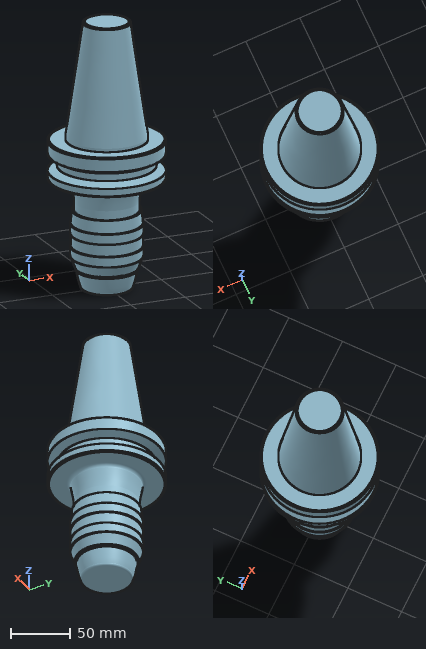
import cadquery as cq
import math

total_height = 236.8
gauge_z = 135.0
gauge_radius = 34.93
taper_slope = 7 / 48
tip_radius = gauge_radius - (total_height - gauge_z) * taper_slope
tip_chamfer_width = 1.5
tip_chamfer_height = 1.0

flange_radius = 50.0
flange_top_z = 132.1
flange_bottom_z = 96.9
flange_chamfer = 1.2
groove_top_z = 119.5
groove_floor_top_z = 115.5
groove_floor_bottom_z = 109.0
groove_bottom_z = 104.7
groove_floor_radius = 42.2

neck_fillet = 3.3
neck_top_radius = 30.3
neck_radius = 27.7
neck_flare_bottom_z = 77.0
neck_bottom_z = 69.1
neck_flare_inset = 0.35

sleeve_top_radius = 29.4
sleeve_radius = 30.5
sleeve_bulge = 0.12
band_radius = 31.0
band_chamfer = 0.5
upper_band_top_z = 57.8
upper_band_bottom_z = 48.0
lower_band_top_z = 37.7
lower_band_bottom_z = 28.0

cone_bottom_z = 18.2
cone_bottom_radius = 27.0
nose_neck_radius = 25.0
nose_top_z = 16.3
nose_top_radius = 26.0
nose_bulge = 0.6
nose_bottom_radius = 22.5
nose_round = 2.0


def raised_band(profile, top_z, bottom_z):
    """Add one raised band with chamfered edges, starting from the sleeve surface at top_z."""
    return (
        profile.lineTo(band_radius, top_z - band_chamfer)
        .lineTo(band_radius, bottom_z + band_chamfer)
        .lineTo(sleeve_radius, bottom_z)
    )


def curved_flank(profile, start_radius, start_z, end_radius, end_z, bulge):
    """Add a shallow arc whose middle lies outside (bulge > 0) or inside its chord."""
    middle = ((start_radius + end_radius) / 2 + bulge, (start_z + end_z) / 2)
    return profile.threePointArc(middle, (end_radius, end_z))


profile = (
    cq.Workplane("XZ")
    .moveTo(0, total_height)
    .lineTo(tip_radius - tip_chamfer_width, total_height)
    .lineTo(tip_radius + tip_chamfer_height * taper_slope, total_height - tip_chamfer_height)
    .lineTo(gauge_radius, gauge_z)
    .lineTo(gauge_radius, flange_top_z)
)

profile = (
    profile.lineTo(flange_radius - flange_chamfer, flange_top_z)
    .lineTo(flange_radius, flange_top_z - flange_chamfer)
    .lineTo(flange_radius, groove_top_z)
    .lineTo(groove_floor_radius, groove_floor_top_z)
    .lineTo(groove_floor_radius, groove_floor_bottom_z)
    .lineTo(flange_radius, groove_bottom_z)
    .lineTo(flange_radius, flange_bottom_z + flange_chamfer)
    .lineTo(flange_radius - flange_chamfer, flange_bottom_z)
)

fillet_bottom_z = flange_bottom_z - neck_fillet
fillet_sag = neck_fillet * (1 - math.sqrt(0.5))
profile = (
    profile.lineTo(neck_top_radius + neck_fillet, flange_bottom_z)
    .threePointArc(
        (neck_top_radius + fillet_sag, flange_bottom_z - fillet_sag),
        (neck_top_radius, fillet_bottom_z),
    )
)
profile = curved_flank(
    profile, neck_top_radius, fillet_bottom_z, neck_radius, neck_flare_bottom_z, -neck_flare_inset
)
profile = profile.lineTo(neck_radius, neck_bottom_z)

profile = profile.lineTo(sleeve_top_radius, neck_bottom_z)
profile = curved_flank(
    profile, sleeve_top_radius, neck_bottom_z, sleeve_radius, upper_band_top_z, sleeve_bulge
)
profile = raised_band(profile, upper_band_top_z, upper_band_bottom_z)
profile = profile.lineTo(sleeve_radius, lower_band_top_z)
profile = raised_band(profile, lower_band_top_z, lower_band_bottom_z)

profile = (
    profile.lineTo(cone_bottom_radius, cone_bottom_z)
    .lineTo(nose_neck_radius, cone_bottom_z)
    .lineTo(nose_top_radius, nose_top_z)
)
profile = curved_flank(
    profile, nose_top_radius, nose_top_z, nose_bottom_radius, nose_round, nose_bulge
)
round_sag = nose_round * (1 - math.sqrt(0.5))
profile = (
    profile.threePointArc(
        (nose_bottom_radius - round_sag, round_sag),
        (nose_bottom_radius - nose_round, 0),
    )
    .lineTo(0, 0)
    .close()
)

result = profile.revolve(360, (0, 0, 0), (0, 1, 0))